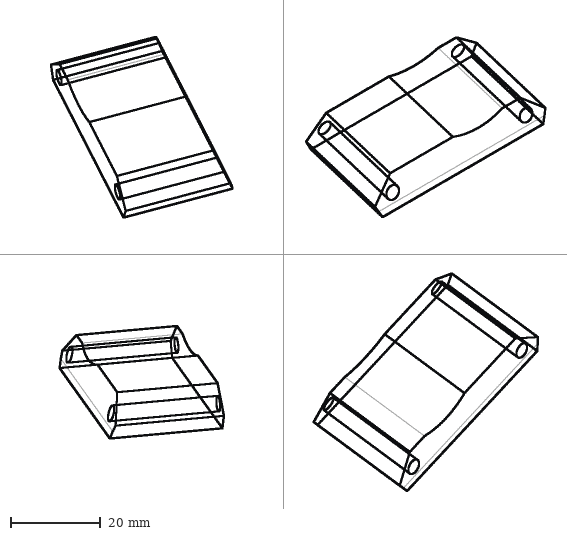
import cadquery as cq

length = 48.35
depth = 25.95
height = 9.25

widest_level = 3.55
undercut = 1.4
bevel = height - widest_level

back_break_level = 1.95
back_break_inset = 0.5
back_top_inset = 2.8

groove_left = 10.87
groove_right = 24.85
groove_depth = 1.3

hole_diameter = 3.5
hole_inset = 5.25
hole_level = 4.5


def end_outline():
    """Front outline of the block with the groove in its top edge."""
    groove_middle = (groove_left + groove_right) / 2
    return (
        cq.Workplane("XZ")
        .moveTo(undercut, 0)
        .lineTo(length - undercut, 0)
        .lineTo(length, widest_level)
        .lineTo(length - bevel, height)
        .lineTo(groove_right, height)
        .threePointArc((groove_middle, height - groove_depth), (groove_left, height))
        .lineTo(bevel, height)
        .lineTo(0, widest_level)
        .close()
    )


def side_outline():
    """Side outline with the sloping back."""
    return cq.Workplane("YZ").polyline([
        (0, 0),
        (depth, 0),
        (depth - back_break_inset, back_break_level),
        (depth - back_top_inset, height),
        (0, height),
    ]).close()


block = end_outline().extrude(-depth).intersect(side_outline().extrude(length))
holes = (
    cq.Workplane("XZ")
    .pushPoints([(hole_inset, hole_level), (length - hole_inset, hole_level)])
    .circle(hole_diameter / 2)
    .extrude(-depth)
)
result = block.cut(holes)